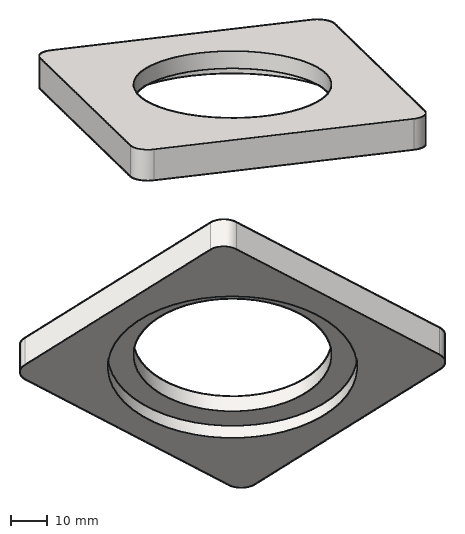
import cadquery as cq

side_length = 85.0
thickness = 9.0
corner_radius = 5.0

hole_diameter = 54.0
hole_wall_height = 5.0
recess_diameter = 68.0
recess_depth = thickness - hole_wall_height

plate = (
    cq.Workplane("XY")
    .box(side_length, side_length, thickness)
    .edges("|Z")
    .fillet(corner_radius)
)

result = plate.faces("<Z").workplane().cboreHole(hole_diameter, recess_diameter, recess_depth)